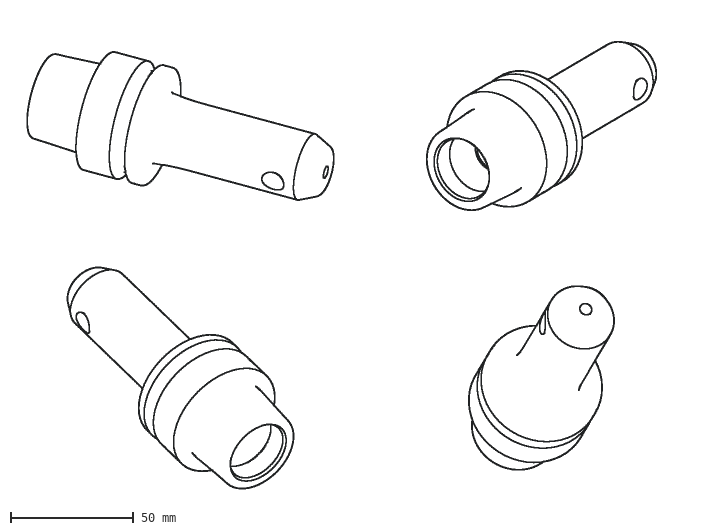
import cadquery as cq
import math


total_length = 124.9
flange_front = 24.9
flange_back = 50.8

taper_base_radius = 19.0
taper_slope = 0.05
taper_end = 22.6
taper_nose_radius = 1.0

relief_radius = 18.9
relief_slope_end = 23.7
relief_corner_radius = 0.7
relief_face_depth = 0.1
relief_outer_radius = 20.1

flange_radius = 25.0
groove_front = 39.6
groove_back = 46.3
groove_floor_radius = 21.5
groove_half_angle = math.radians(30)
groove_corner_radius = 0.9
flange_rim_fillet = 0.7

neck_fillet = 2.5
neck_end = 68.0
neck_arc_radius = 124.9
shank_radius = 14.0
tip_start = 116.4
tip_angle = math.radians(25)
tip_fillet = 3.0

mouth_radius = 13.7
bore_radius = 13.0
mouth_angle = math.radians(30)
bore_end = 10.0
cavity_radius = 14.5
cavity_angle = math.radians(60)
cavity_floor = 21.1
cavity_fillet = 2.2

plug_radius = 7.5
plug_hole_chamfer = 0.5
plug_length = 10.0
coolant_radius = 2.5

dimple_x = 107.3
dimple_ball_radius = 5.2
dimple_center_offset = 2.0

plug_front = cavity_floor + plug_hole_chamfer
plug_back = plug_front + plug_length


def taper_radius(x):
    return taper_base_radius - taper_slope * (taper_end - x)


def revolve_about_x(profile):
    return profile.close().revolve(360, (0, 0, 0), (1, 0, 0))


def arc_point(center, radius, angle):
    return (center[0] + radius * math.cos(angle), center[1] + radius * math.sin(angle))


def add_taper(profile):
    """Rounded nose and cone of the taper."""
    lean = math.atan(taper_slope)
    center = (
        taper_nose_radius,
        taper_radius(taper_nose_radius) - taper_nose_radius / math.cos(lean),
    )
    cone_normal = math.pi / 2 + lean
    return (
        profile.lineTo(0, center[1])
        .threePointArc(
            arc_point(center, taper_nose_radius, (math.pi + cone_normal) / 2),
            arc_point(center, taper_nose_radius, cone_normal),
        )
        .lineTo(taper_end, taper_base_radius)
    )


def add_relief(profile):
    """Undercut that dips into the taper and slightly into the flange face."""
    center = (
        flange_front + relief_face_depth - relief_corner_radius,
        relief_radius + relief_corner_radius,
    )
    return (
        profile.lineTo(relief_slope_end, relief_radius)
        .lineTo(center[0], relief_radius)
        .threePointArc(
            arc_point(center, relief_corner_radius, -math.pi / 4),
            arc_point(center, relief_corner_radius, 0),
        )
        .lineTo(flange_front, relief_outer_radius)
    )


def add_flange(profile):
    """Flange rim with the V-groove and the rounded back edge."""
    wall_run = (flange_radius - groove_floor_radius) * math.tan(groove_half_angle)
    turn = math.pi / 2 - groove_half_angle
    tangent_length = groove_corner_radius * math.tan(turn / 2)
    arc_height = groove_floor_radius + groove_corner_radius
    front_center = (groove_front + wall_run + tangent_length, arc_height)
    back_center = (groove_back - wall_run - tangent_length, arc_height)
    rim_center = (flange_back - flange_rim_fillet, flange_radius - flange_rim_fillet)
    down = -math.pi / 2
    return (
        profile.lineTo(flange_front, flange_radius)
        .lineTo(groove_front, flange_radius)
        .lineTo(*arc_point(front_center, groove_corner_radius, down - turn))
        .threePointArc(
            arc_point(front_center, groove_corner_radius, down - turn / 2),
            arc_point(front_center, groove_corner_radius, down),
        )
        .lineTo(back_center[0], groove_floor_radius)
        .threePointArc(
            arc_point(back_center, groove_corner_radius, down + turn / 2),
            arc_point(back_center, groove_corner_radius, down + turn),
        )
        .lineTo(groove_back, flange_radius)
        .lineTo(rim_center[0], flange_radius)
        .threePointArc(
            arc_point(rim_center, flange_rim_fillet, math.pi / 4),
            arc_point(rim_center, flange_rim_fillet, 0),
        )
    )


def add_neck(profile):
    """Fillet behind the flange, then a long arc running tangent into the shank."""
    arc_center = (neck_end, shank_radius + neck_arc_radius)
    fillet_x = flange_back + neck_fillet
    lean = math.asin((neck_end - fillet_x) / (neck_arc_radius - neck_fillet))
    fillet_center = (
        fillet_x,
        arc_center[1] - (neck_arc_radius - neck_fillet) * math.cos(lean),
    )
    down = -math.pi / 2
    fillet_stop = down - lean
    return (
        profile.lineTo(flange_back, fillet_center[1])
        .threePointArc(
            arc_point(fillet_center, neck_fillet, (fillet_stop - math.pi) / 2),
            arc_point(fillet_center, neck_fillet, fillet_stop),
        )
        .threePointArc(
            arc_point(arc_center, neck_arc_radius, down - lean / 2),
            (neck_end, shank_radius),
        )
    )


def add_tip(profile):
    """Straight shank, conical tip and rounded end."""
    center_x = total_length - tip_fillet
    cone_normal = math.pi / 2 - tip_angle
    cone_radius = shank_radius - (center_x - tip_start) * math.tan(tip_angle)
    center = (center_x, cone_radius - tip_fillet / math.cos(tip_angle))
    return (
        profile.lineTo(tip_start, shank_radius)
        .lineTo(*arc_point(center, tip_fillet, cone_normal))
        .threePointArc(
            arc_point(center, tip_fillet, cone_normal / 2),
            arc_point(center, tip_fillet, 0),
        )
        .lineTo(total_length, 0)
    )


def outer_form():
    profile = cq.Workplane("XY").moveTo(0, 0)
    for add_section in (add_taper, add_relief, add_flange, add_neck, add_tip):
        profile = add_section(profile)
    return revolve_about_x(profile)


def clamping_cavity():
    """Chamfered mouth, bore, and the wider chamber behind it, down to the plug."""
    mouth_depth = (mouth_radius - bore_radius) / math.tan(mouth_angle)
    shoulder_run = (cavity_radius - bore_radius) / math.tan(cavity_angle)
    fillet_center = (cavity_floor - cavity_fillet, cavity_radius - cavity_fillet)
    profile = (
        cq.Workplane("XY")
        .moveTo(0, 0)
        .lineTo(0, mouth_radius)
        .lineTo(mouth_depth, bore_radius)
        .lineTo(bore_end, bore_radius)
        .lineTo(bore_end + shoulder_run, cavity_radius)
        .lineTo(fillet_center[0], cavity_radius)
        .threePointArc(
            arc_point(fillet_center, cavity_fillet, math.pi / 4),
            arc_point(fillet_center, cavity_fillet, 0),
        )
        .lineTo(cavity_floor, plug_radius + plug_hole_chamfer)
        .lineTo(plug_front, plug_radius)
        .lineTo(plug_back, plug_radius)
        .lineTo(plug_back, 0)
    )
    return revolve_about_x(profile)


def coolant_bore():
    return cq.Workplane("YZ").circle(coolant_radius).extrude(total_length)


def dimple_ball(side):
    center_y = side * (shank_radius + dimple_center_offset)
    return cq.Workplane("XY").sphere(dimple_ball_radius).translate((dimple_x, center_y, 0))


def make_holder():
    holder = outer_form().cut(clamping_cavity()).cut(coolant_bore())
    for side in (-1, 1):
        holder = holder.cut(dimple_ball(side))
    return holder


def make_plug():
    blank = cq.Workplane("YZ").workplane(offset=plug_front).circle(plug_radius).extrude(plug_length)
    return blank.cut(coolant_bore())


holder = make_holder()
plug = make_plug()

result = cq.Compound.makeCompound([holder.val(), plug.val()])